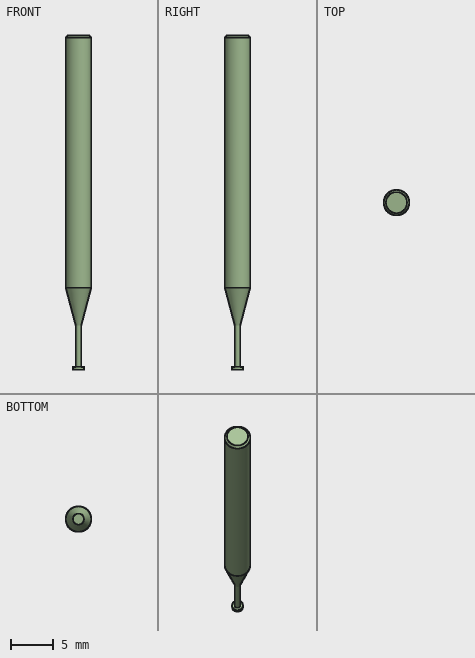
import cadquery as cq

total_length = 39.0
shank_diameter = 3.0
shank_chamfer = 0.27

neck_diameter = 0.65
cone_bottom_z = 5.15
cone_top_z = 9.6

head_diameter = 1.3
head_thickness = 0.35

shank_radius = shank_diameter / 2
neck_radius = neck_diameter / 2


def make_shank():
    """Cylindrical shank with a chamfered upper end."""
    return (
        cq.Workplane("XY", origin=(0, 0, cone_top_z))
        .circle(shank_radius)
        .extrude(total_length - cone_top_z)
        .faces(">Z")
        .chamfer(shank_chamfer)
    )


def make_neck():
    """Straight stem standing on the head, with the cone above it."""
    return (
        cq.Workplane("XZ")
        .moveTo(0, head_thickness)
        .lineTo(neck_radius, head_thickness)
        .lineTo(neck_radius, cone_bottom_z)
        .lineTo(shank_radius, cone_top_z)
        .lineTo(0, cone_top_z)
        .close()
        .revolve(360, (0, 0, 0), (0, 1, 0))
    )


def make_head():
    """Plain cutting disc."""
    return cq.Workplane("XY").circle(head_diameter / 2).extrude(head_thickness)


shank = make_shank()
neck = make_neck()
head = make_head()

result = cq.Compound.makeCompound([shank.val(), neck.val(), head.val()])